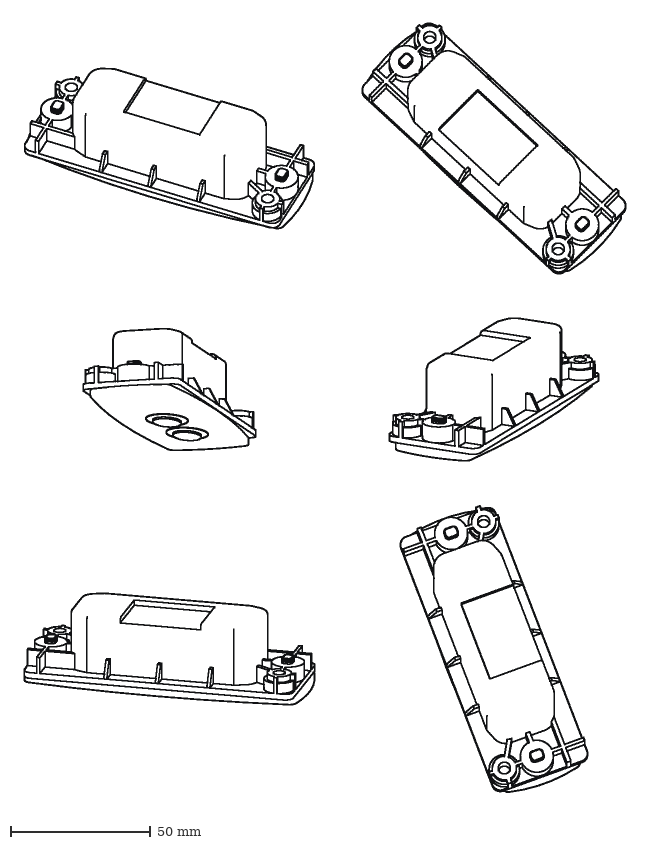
import cadquery as cq
import math

PLATE_TOP = 2.2
RIB_TOP = 8.2
STEP_TOP = 6.0
PIN_TOP = 10.2
BOX_TOP = 24.1
COVER_THICKNESS = 2.8

PLATE_HALF_LENGTH = 49.9
WIDTH = 36.3
HALF_WIDTH = WIDTH / 2
PLATE_CORNER_RADIUS = 3.0

BOX_HALF_LENGTH = 34.6
BOX_HALF_WIDTH = 13.0
BOX_SIDE_HALF = 27.2
BOX_END_CORNER_Y = 10.2
BOX_CORNER_RADIUS = 5.4
BOX_TOP_FILLET = 1.6
RECESS_LENGTH = 29.8
RECESS_FRONT_Y = -7.1
RECESS_DEPTH = 2.0

BOSS_X = 44.0
PIN_BOSS_RADIUS = 5.9
SCREW_BOSS_Y = 12.5
SCREW_BOSS_RADIUS = 4.4
SCREW_STEP_RADIUS = 5.5
SCREW_HOLE_RADIUS = 2.2
CROSS_RIB_WIDTH = 1.2
LONG_RIB_WIDTH = 1.6
CORNER_RIB_Y = 10.1
SLANTED_RIB_ANGLE = 30
GUSSET_PITCH = 19.1
GUSSET_WIDTH = 1.1
GUSSET_FLAT_END = 15.0

PIN_WIDTH = 3.8
PIN_LENGTH = 4.9
PIN_CORNER_RADIUS = 1.4
PIN_TIERS = 2
PIN_CHAMFER = 0.3

COVER_HALF_LENGTH = 52.0
COVER_CORNER_X = 50.0
COVER_CORNER_Y = 14.9
COVER_CORNER_RADIUS = 2.8
COVER_EDGE_FILLET = 0.3

BUTTON_XS = (-21.9, 3.1)
BUTTON_HALF_LENGTH = 10.3
BUTTON_HALF_WIDTH = 7.3
CROWN_HALF_LENGTH = 7.6
CROWN_HALF_WIDTH = 4.9
RIM_HEIGHT = 0.2
SLOPE_HEIGHT = 0.4
CROWN_WALL_HEIGHT = 0.6
CROWN_DOME_HEIGHT = 0.8


def block(x0, x1, y0, y1, z0, z1):
    """Box between two opposite corners."""
    return cq.Workplane("XY").box(x1 - x0, y1 - y0, z1 - z0, centered=False).translate((x0, y0, z0))


def cylinder(x, y, radius, z0, z1):
    """Upright cylinder between two heights."""
    return cq.Workplane("XY", origin=(x, y, z0)).circle(radius).extrude(z1 - z0)


def half_turn(shape):
    """Copy of a shape turned half a turn about Z, for the opposite end of the housing."""
    return shape.rotate((0, 0, 0), (0, 0, 1), 180)


def plate():
    return (
        block(-PLATE_HALF_LENGTH, PLATE_HALF_LENGTH, -HALF_WIDTH, HALF_WIDTH, 0, PLATE_TOP)
        .edges("|Z")
        .fillet(PLATE_CORNER_RADIUS)
    )


def box_body():
    """Tall box: long sides, slanted shoulders and rounded corners to the end walls."""
    shoulder = (BOX_SIDE_HALF, BOX_HALF_WIDTH)
    end_corner = (BOX_HALF_LENGTH, BOX_END_CORNER_Y)
    half_outline = [
        end_corner,
        shoulder,
        (-shoulder[0], shoulder[1]),
        (-end_corner[0], end_corner[1]),
    ]
    outline = half_outline + [(-x, -y) for x, y in half_outline]
    return (
        cq.Workplane("XY")
        .polyline(outline)
        .close()
        .extrude(BOX_TOP)
        .edges("|Z and (<X or >X)")
        .fillet(BOX_CORNER_RADIUS)
        .faces(">Z")
        .edges()
        .fillet(BOX_TOP_FILLET)
    )


def top_recess():
    """Shallow recess in the box top, open at the +Y side."""
    half = RECESS_LENGTH / 2
    return block(-half, half, RECESS_FRONT_Y, HALF_WIDTH, BOX_TOP - RECESS_DEPTH, BOX_TOP)


def end_bosses_and_ribs():
    """Bosses and ribs of the -X end, where the screw boss lies on the +Y side."""
    half_cross = CROSS_RIB_WIDTH / 2
    half_long = LONG_RIB_WIDTH / 2
    inside_box = -BOX_SIDE_HALF
    cross_rib = block(-BOSS_X - half_cross, -BOSS_X + half_cross, -HALF_WIDTH, HALF_WIDTH, 0, RIB_TOP)
    middle_rib = block(-BOSS_X, inside_box, -half_long, half_long, 0, RIB_TOP)
    corner_rib = block(
        -PLATE_HALF_LENGTH, inside_box, -CORNER_RIB_Y - half_long, -CORNER_RIB_Y + half_long, 0, RIB_TOP
    )
    edge_rib = block(
        -PLATE_HALF_LENGTH, -BOSS_X, SCREW_BOSS_Y - half_long, SCREW_BOSS_Y + half_long, 0, RIB_TOP
    )
    slanted_length = (BOSS_X - BOX_HALF_LENGTH) / math.cos(math.radians(SLANTED_RIB_ANGLE)) + LONG_RIB_WIDTH
    slanted_rib = (
        block(0, slanted_length, -half_long, half_long, 0, RIB_TOP)
        .rotate((0, 0, 0), (0, 0, 1), -SLANTED_RIB_ANGLE)
        .translate((-BOSS_X, SCREW_BOSS_Y, 0))
    )
    return (
        cross_rib.union(middle_rib)
        .union(corner_rib)
        .union(edge_rib)
        .union(slanted_rib)
        .union(cylinder(-BOSS_X, 0, PIN_BOSS_RADIUS, 0, RIB_TOP))
        .union(cylinder(-BOSS_X, SCREW_BOSS_Y, SCREW_STEP_RADIUS, 0, STEP_TOP))
        .union(cylinder(-BOSS_X, SCREW_BOSS_Y, SCREW_BOSS_RADIUS, 0, RIB_TOP))
    )


def screw_hole():
    """Blind hole of the -X screw boss, down to the plate."""
    return cylinder(-BOSS_X, SCREW_BOSS_Y, SCREW_HOLE_RADIUS, PLATE_TOP, RIB_TOP)


def pin():
    """Rounded rectangular stub on the -X pin boss: stacked tiers, each with a chamfered top."""
    tier_height = (PIN_TOP - RIB_TOP) / PIN_TIERS
    stub = cq.Workplane("XY")
    for index in range(PIN_TIERS):
        tier = (
            cq.Workplane("XY", origin=(-BOSS_X, 0, RIB_TOP + index * tier_height))
            .rect(PIN_WIDTH, PIN_LENGTH)
            .extrude(tier_height)
            .edges("|Z")
            .fillet(PIN_CORNER_RADIUS)
            .faces(">Z")
            .chamfer(PIN_CHAMFER)
        )
        stub = stub.union(tier)
    return stub


def gusset(x):
    """Sloped gusset between the -Y long wall of the box and the plate edge."""
    profile = [
        (0, 0),
        (-HALF_WIDTH, 0),
        (-HALF_WIDTH, PLATE_TOP),
        (-GUSSET_FLAT_END, RIB_TOP),
        (0, RIB_TOP),
    ]
    return (
        cq.Workplane("YZ", origin=(x - GUSSET_WIDTH / 2, 0, 0))
        .polyline(profile)
        .close()
        .extrude(GUSSET_WIDTH)
    )


def make_housing():
    end = end_bosses_and_ribs().union(pin())
    housing = plate().union(box_body()).union(end).union(half_turn(end))
    for index in (-1, 0, 1):
        side = gusset(index * GUSSET_PITCH)
        housing = housing.union(side).union(half_turn(side))
    return housing.cut(top_recess()).cut(screw_hole()).cut(half_turn(screw_hole()))


def cover_plate():
    """Plate with four bowed sides and rounded corners."""
    x = COVER_CORNER_X
    y = COVER_CORNER_Y
    return (
        cq.Workplane("XY", origin=(0, 0, -COVER_THICKNESS))
        .moveTo(x, -y)
        .threePointArc((COVER_HALF_LENGTH, 0), (x, y))
        .threePointArc((0, HALF_WIDTH), (-x, y))
        .threePointArc((-COVER_HALF_LENGTH, 0), (-x, -y))
        .threePointArc((0, -HALF_WIDTH), (x, -y))
        .close()
        .extrude(COVER_THICKNESS)
        .edges("|Z")
        .fillet(COVER_CORNER_RADIUS)
        .faces("<Z or >Z")
        .edges()
        .fillet(COVER_EDGE_FILLET)
    )


def crown_dome():
    """Elliptical dome, a spherical cap squeezed along Y, that bulges down from z = 0."""
    rim = CROWN_HALF_LENGTH
    height = CROWN_DOME_HEIGHT
    radius = (rim ** 2 + height ** 2) / (2 * height)
    cap = (
        cq.Workplane("XZ")
        .moveTo(0, 0)
        .lineTo(0, -height)
        .radiusArc((rim, 0), -radius)
        .close()
        .revolve(360, (0, 0), (0, 1))
    )
    squeeze = cq.Matrix(
        [
            [1, 0, 0, 0],
            [0, CROWN_HALF_WIDTH / CROWN_HALF_LENGTH, 0, 0],
            [0, 0, 1, 0],
        ]
    )
    return cq.Workplane(cap.val().transformGeometry(squeeze))


def button(x):
    """Elliptical button: thin rim, slope, upright wall and domed crown."""
    slope_start = -COVER_THICKNESS - RIM_HEIGHT
    wall_end = slope_start - SLOPE_HEIGHT - CROWN_WALL_HEIGHT
    rim = (
        cq.Workplane("XY", origin=(x, 0, slope_start))
        .ellipse(BUTTON_HALF_LENGTH, BUTTON_HALF_WIDTH)
        .extrude(RIM_HEIGHT)
    )
    slope = (
        cq.Workplane("XY", origin=(x, 0, slope_start))
        .ellipse(BUTTON_HALF_LENGTH, BUTTON_HALF_WIDTH)
        .workplane(offset=-SLOPE_HEIGHT)
        .ellipse(CROWN_HALF_LENGTH, CROWN_HALF_WIDTH)
        .loft(ruled=True)
    )
    wall = (
        cq.Workplane("XY", origin=(x, 0, wall_end))
        .ellipse(CROWN_HALF_LENGTH, CROWN_HALF_WIDTH)
        .extrude(SLOPE_HEIGHT + CROWN_WALL_HEIGHT)
    )
    return rim.union(slope).union(wall).union(crown_dome().translate((x, 0, wall_end)))


def make_cover():
    cover = cover_plate()
    for x in BUTTON_XS:
        cover = cover.union(button(x))
    return cover


housing = make_housing()
cover = make_cover()
result = cq.Compound.makeCompound([housing.val(), cover.val()])